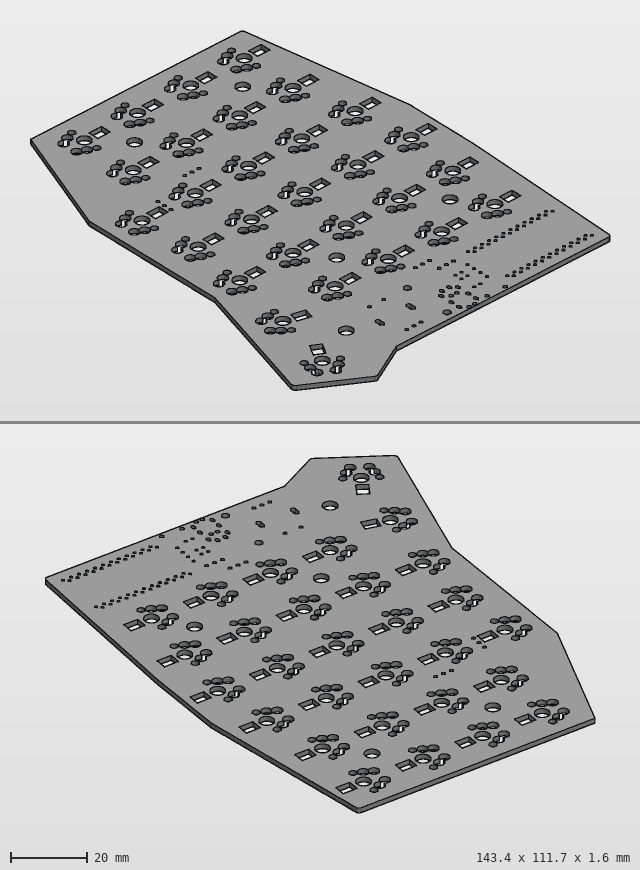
import cadquery as cq


thickness = 1.6
corner_radius = 1.0
thumb_bottom_radius = 1.5
left_x = 0
right_x = 136.6
top_y = 111.7
lower_edge_y = 12.6
top_left_corner = (left_x, 102.8)
top_right_corner = (right_x, 109.1)
thumb_tip = (143.5, 19.2)
thumb_bottom = (131.9, -0.3)
plate_corners = [
    top_left_corner,
    (55.3, top_y),
    (80.3, top_y),
    top_right_corner,
    (right_x, 32.4),
    thumb_tip,
    thumb_bottom,
    (87.6, lower_edge_y),
    (38.7, lower_edge_y),
    (left_x, 27.2),
]
corner_radii = {
    top_left_corner: corner_radius,
    top_right_corner: corner_radius,
    thumb_tip: corner_radius,
    thumb_bottom: thumb_bottom_radius,
}

pin_pitch = 2.54
half_pitch = pin_pitch / 2

hub_diameter = 4.2
post_diameter = 2.2
post_offset = 4.9
socket_diameter = 3.0
socket_offsets = [(3 * half_pitch, -pin_pitch), (2 * half_pitch, -2 * pin_pitch)]
window_width = 3.5
window_height = 4.5
window_offset = 5.5

first_column_x = 9.9
last_column_x = 105.0
columns = [(94.3, 4), (94.3, 4), (99.0, 5), (101.6, 5), (99.0, 5), (96.6, 4)]
key_pitch = (last_column_x - first_column_x) / (len(columns) - 1)
thumb_keys = [(107.7, 18.5, -15), (128.5, 13.5, 60)]

mount_diameter = 4.2
mount_centres = [(19.5, 85.0), (19.5, 46.5), (95.3, 89.5), (95.3, 49.0), (122.3, 27.7)]

fine_diameter = 0.82
controller_pin_count = 12
controller_row_tops = [(116.5, 104.2), (131.9, 104.2)]
controller_twin_shift = 1.1
display_start = (121.0, 72.1)
display_pin_count = 4
jumper_columns_x = [122.6, 124.9, 129.9]
jumper_rows_y = [68.5, 66.4]

pin_diameter = 1.0
group_pin_count = 3
upright_group_tops = [(117.3, 70.5), (112.8, 66.1), (40.0, 50.6)]
level_group_start = (44.2, 32.1)

battery_diameter = 1.2
battery_centres = [(135.3, 72.4), (135.3, 66.0)]
reset_diameter = 2.2
reset_centres = [(118.4, 53.0), (133.9, 53.0)]

jack_y = 60.1
jack_post_diameter = 1.2
jack_post_offset = 1.0
jack_posts_x = [128.9, 135.9]
jack_slot_length = 1.6
jack_slot_width = 1.0
jack_outer_slots_x = [127.2, 131.2, 134.2]
jack_outer_slot_offset = 3.0
jack_inner_slot_x = 125.6
jack_inner_slot_offset = 1.3

encoder_x = 125.5
encoder_y = 42.3
encoder_pin_span = 14.5
encoder_lug_span = 11.0
lug_length = 3.0
lug_width = 1.5


def plate():
    """The extruded outline with its listed corners rounded."""
    body = cq.Workplane("XY").polyline(plate_corners).close().extrude(thickness)
    for (x, y), radius in corner_radii.items():
        corner_edge = cq.NearestToPointSelector((x, y, thickness / 2))
        body = body.edges(corner_edge).fillet(radius)
    return body


def holes(centres, diameter):
    return cq.Workplane("XY").pushPoints(centres).circle(diameter / 2).extrude(thickness)


def slots(centres, length, width):
    return cq.Workplane("XY").pushPoints(centres).slot2D(length, width).extrude(thickness)


def pins_right(start, count):
    x, y = start
    return [(x + i * pin_pitch, y) for i in range(count)]


def pins_down(start, count):
    x, y = start
    return [(x, y - i * pin_pitch) for i in range(count)]


def key_footprint():
    """Openings of one switch, hub at the origin: hub, posts, sockets and lamp window."""
    posts = [(side * post_offset, 0) for side in (-1, 1)]
    sockets = [(side * x, y) for x, y in socket_offsets for side in (-1, 1)]
    window = cq.Workplane("XY").center(0, window_offset).rect(window_width, window_height)
    footprint = holes([(0, 0)], hub_diameter)
    footprint = footprint.union(holes(posts, post_diameter))
    footprint = footprint.union(holes(sockets, socket_diameter))
    return footprint.union(window.extrude(thickness))


def key_openings():
    footprint = key_footprint()
    openings = []
    for column, (top_hub_y, key_count) in enumerate(columns):
        x = first_column_x + column * key_pitch
        for row in range(key_count):
            openings.append(footprint.translate((x, top_hub_y - row * key_pitch, 0)))
    for x, y, turn in thumb_keys:
        turned = footprint.rotate((0, 0, 0), (0, 0, 1), turn)
        openings.append(turned.translate((x, y, 0)))
    return openings


def fine_pin_openings():
    centres = pins_right(display_start, display_pin_count)
    centres += [(x, y) for x in jumper_columns_x for y in jumper_rows_y]
    for x, y in controller_row_tops:
        twin_top = (x + controller_twin_shift, y + half_pitch)
        centres += pins_down((x, y), controller_pin_count)
        centres += pins_down(twin_top, controller_pin_count)
    return [holes(centres, fine_diameter)]


def group_pin_openings():
    centres = pins_right(level_group_start, group_pin_count)
    for top in upright_group_tops:
        centres += pins_down(top, group_pin_count)
    return [holes(centres, pin_diameter)]


def jack_openings():
    posts = []
    slot_centres = []
    for side in (-1, 1):
        posts += [(x, jack_y + side * jack_post_offset) for x in jack_posts_x]
        slot_centres += [(x, jack_y + side * jack_outer_slot_offset) for x in jack_outer_slots_x]
        slot_centres.append((jack_inner_slot_x, jack_y + side * jack_inner_slot_offset))
    return [
        holes(posts, jack_post_diameter),
        slots(slot_centres, jack_slot_length, jack_slot_width),
    ]


def encoder_openings():
    left_pins_x = encoder_x - encoder_pin_span / 2
    right_pins_x = encoder_x + encoder_pin_span / 2
    switch_pins = [(left_pins_x, encoder_y + side * pin_pitch) for side in (-1, 1)]
    dial_pins = pins_down((right_pins_x, encoder_y + pin_pitch), group_pin_count)
    lugs = [(encoder_x, encoder_y + side * encoder_lug_span / 2) for side in (-1, 1)]
    return [holes(switch_pins + dial_pins, pin_diameter), slots(lugs, lug_length, lug_width)]


openings = key_openings() + fine_pin_openings() + group_pin_openings()
openings += jack_openings() + encoder_openings()
openings.append(holes(mount_centres, mount_diameter))
openings.append(holes(battery_centres, battery_diameter))
openings.append(holes(reset_centres, reset_diameter))

opening_solids = [solid for opening in openings for solid in opening.vals()]
result = cq.Workplane(plate().val().cut(*opening_solids))